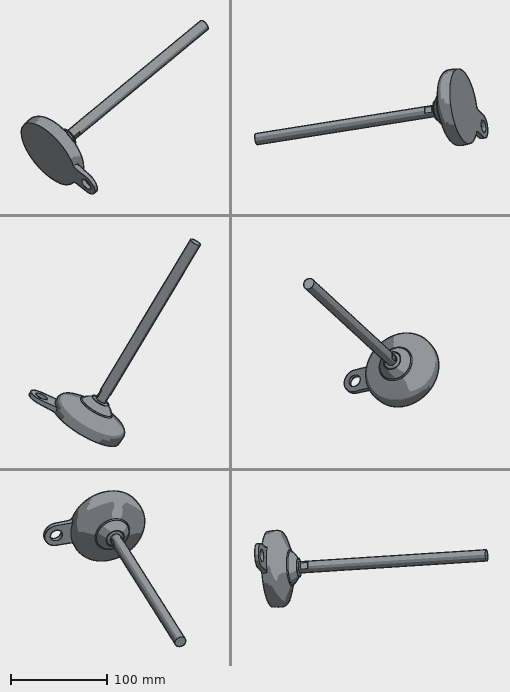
import cadquery as cq
import math

pad_radius = 40.0
pad_bottom_radius = 39.4
rim_start = 6.0
rim_end = 9.5
shoulder_radius = 6.5
shoulder_slope = 21.0
cone_top_radius = 19.0
seat_height = 23.2

lug_end = 68.0
lug_radius = 12.5
lug_hole_diameter = 13.0
lug_root_fillet = 5.0
lug_end_thickness = 4.0
lug_root_x = 25.0
lug_hole_x = lug_end - lug_radius
lug_top_slope = 3.5

rod_diameter = 12.0
rod_length = 200.0
stud_head_top = 31.5
collar_top_radius = 7.5
dome_radius = 22.5
dome_center_height = 9.5
collar_bottom = 30.1
collar_edge_height = 30.8
collar_edge_radius = 10.0
flat_width = 10.0
flat_length = 8.0
flat_gap = 2.0


def dome_radius_at(height):
    """Radius of the spherical dome at a height above the floor."""
    return math.sqrt(dome_radius ** 2 - (height - dome_center_height) ** 2)


def turned(outline):
    """Turn a closed Z-Y outline about the Y axis."""
    return outline.close().revolve(360, (0, 0, 0), (0, 1, 0))


def make_pad():
    slope = math.radians(shoulder_slope)

    def shoulder_point(angle):
        return (
            pad_radius - shoulder_radius * (1 - math.cos(angle)),
            rim_end + shoulder_radius * math.sin(angle),
        )

    shoulder_sweep = math.pi / 2 - slope
    shoulder_end = shoulder_point(shoulder_sweep)
    cone_top = shoulder_end[1] + (shoulder_end[0] - cone_top_radius) * math.tan(slope)
    return turned(
        cq.Workplane("ZY")
        .lineTo(pad_bottom_radius, 0)
        .lineTo(pad_radius, rim_start)
        .lineTo(pad_radius, rim_end)
        .threePointArc(shoulder_point(shoulder_sweep / 2), shoulder_end)
        .lineTo(cone_top_radius, cone_top)
        .lineTo(dome_radius_at(seat_height), seat_height)
        .lineTo(0, seat_height)
    )


def make_lug():
    center_distance = pad_bottom_radius + lug_root_fillet
    fillet_z = lug_radius + lug_root_fillet
    fillet_x = math.sqrt(center_distance ** 2 - fillet_z ** 2)
    pad_angle = math.atan2(fillet_z, fillet_x)
    middle_angle = (pad_angle + math.pi / 2) / 2
    root = (pad_bottom_radius * math.cos(pad_angle), pad_bottom_radius * math.sin(pad_angle))
    fillet_middle = (
        fillet_x - lug_root_fillet * math.cos(middle_angle),
        fillet_z - lug_root_fillet * math.sin(middle_angle),
    )
    half_outline = (
        cq.Workplane("XZ")
        .lineTo(*root)
        .threePointArc(fillet_middle, (fillet_x, lug_radius))
        .lineTo(lug_hole_x, lug_radius)
        .radiusArc((lug_end, 0), lug_radius)
        .close()
        .extrude(-rim_start)
    )
    outline = half_outline.union(half_outline.mirror("XY"))

    root_thickness = lug_end_thickness + (lug_end - lug_root_x) * math.tan(math.radians(lug_top_slope))
    side_profile = (
        cq.Workplane("XY")
        .moveTo(lug_root_x, 0)
        .lineTo(lug_root_x, root_thickness)
        .lineTo(lug_end, lug_end_thickness)
        .lineTo(lug_end, 0)
        .close()
        .extrude(pad_radius, both=True)
    )
    return outline.intersect(side_profile)


def make_foot():
    hole = cq.Workplane("XZ").center(lug_hole_x, 0).circle(lug_hole_diameter / 2).extrude(-rim_start)
    return make_pad().union(make_lug()).cut(hole)


def make_stud():
    rod_radius = rod_diameter / 2
    rod_end = stud_head_top + rod_length
    dome_middle_height = (seat_height + collar_bottom) / 2
    dome_middle = (dome_radius_at(dome_middle_height), dome_middle_height)
    dome_end = (dome_radius_at(collar_bottom), collar_bottom)
    stud = turned(
        cq.Workplane("ZY")
        .moveTo(0, seat_height)
        .lineTo(dome_radius_at(seat_height), seat_height)
        .threePointArc(dome_middle, dome_end)
        .lineTo(collar_edge_radius, collar_edge_height)
        .lineTo(collar_top_radius, stud_head_top)
        .lineTo(rod_radius, stud_head_top)
        .lineTo(rod_radius, rod_end)
        .lineTo(0, rod_end)
    )
    flat_middle = stud_head_top + flat_gap + flat_length / 2
    for side in (-1, 1):
        flat_cutter = cq.Workplane("XY").box(rod_radius, flat_length, rod_diameter)
        stud = stud.cut(flat_cutter.translate((side * (flat_width + rod_radius) / 2, flat_middle, 0)))
    return stud


foot = make_foot()
stud = make_stud()

result = cq.Compound.makeCompound([foot.val(), stud.val()])